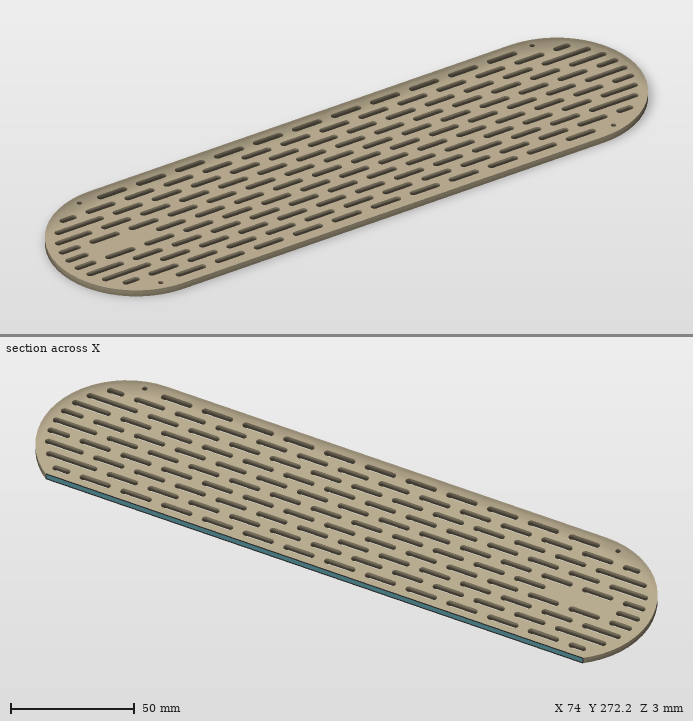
import cadquery as cq
import math

plate_length = 272.2
plate_width = 74.0
plate_thickness = 3.0
end_radius = plate_width / 2
end_center_y = plate_length / 2 - end_radius

slot_width = 3.0
slot_length = 14.0
outer_column = 5
column_span = 62.3
column_pitch = column_span / (2 * outer_column)
row_span = 183.8
row_intervals = 10
row_pitch = row_span / row_intervals
slot_radius = slot_width / 2

rim = 3.8
tip_circle_radius = end_radius - rim - slot_radius

hole_diameter = 2.2
hole_x = 32.0
hole_y = 106.7


def slot_tip(x):
    """Farthest Y a slot may reach at x, with its round tip touching the inner edge of the rim."""
    return end_center_y + math.sqrt(tip_circle_radius**2 - x**2) + slot_radius


def row_start(row):
    """Y of the inner end of a slot in the given row (rows count in pitches from the centre)."""
    return row * row_pitch - slot_length / 2


def slot_cutter(x, y_low, y_high):
    """Round-ended slot along Y, passing through the plate."""
    return (
        cq.Workplane("XY")
        .center(x, (y_low + y_high) / 2)
        .slot2D(y_high - y_low, slot_width, 90)
        .extrude(plate_thickness)
        .val()
    )


def regular_rows(column):
    """Row numbers of the full-length slots in a column, whole or half by the stagger."""
    intervals = row_intervals if column % 2 else row_intervals + 1
    if abs(column) == 1:
        intervals += 2
    rows = [i - intervals / 2 for i in range(intervals + 1)]
    return rows[1:] if column == 0 else rows


def column_cutters(column):
    """All slots of one column: regular rows, then the fitted slot at each rounded end."""
    x = column * column_pitch
    cutters = []
    for row in regular_rows(column):
        y = row_start(row)
        cutters.append(slot_cutter(x, y, y + slot_length))
    if abs(column) < outer_column:
        last_row = max(regular_rows(column))
        tip = slot_tip(x)
        upper_start = row_start(last_row + 1)
        lower_start = row_start(last_row + 1.5) if column == 0 else upper_start
        cutters.append(slot_cutter(x, upper_start, tip))
        cutters.append(slot_cutter(x, -tip, -lower_start))
    return cutters


plate = cq.Workplane("XY").slot2D(plate_length, plate_width, 90).extrude(plate_thickness)

slot_cutters = []
for column in range(-outer_column, outer_column + 1):
    slot_cutters.extend(column_cutters(column))
slots = cq.Workplane(cq.Compound.makeCompound(slot_cutters))

hole_points = [(sx * hole_x, sy * hole_y) for sx in (-1, 1) for sy in (-1, 1)]
holes = (
    cq.Workplane("XY")
    .pushPoints(hole_points)
    .circle(hole_diameter / 2)
    .extrude(plate_thickness)
)

result = plate.cut(slots).cut(holes)